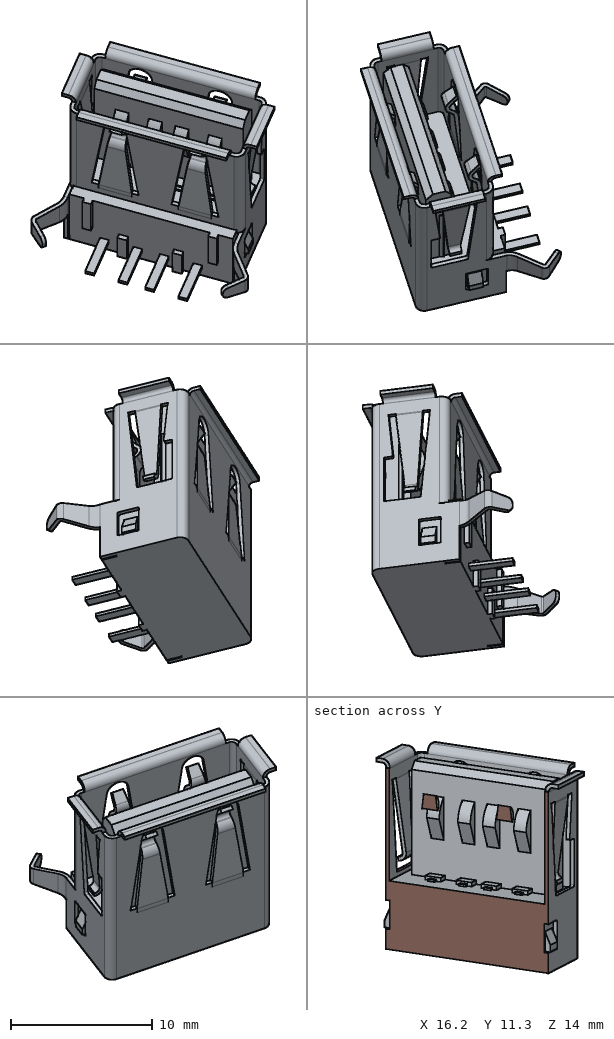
import cadquery as cq
import math


SHEET = 0.3
SHELL_X = 13.1
SHELL_Y = 5.7
SHELL_TOP = 13.4
CORNER_R = 0.65
HALF_X = SHELL_X / 2
HALF_Y = SHELL_Y / 2
INNER_X = HALF_X - SHEET
INNER_Y = HALF_Y - SHEET

LIP_BEND_R = SHEET * 1.5
LIP_REACH = 0.775
LONG_LIP = 11.26
SHORT_LIP = 3.84
LIP_ROOT = 0.1

SPRING_X = 3.0
SLOT_BOTTOM = 6.04
SLOT_TOP = 13.2
SLOT_BOTTOM_HALF = 1.76
SLOT_TOP_R = 0.88
SPRING_ROOT = 5.65
SPRING_LEAN_Z = 5.84
SPRING_LEAN_R = 6.8
SPRING_KNEE = (-2.45, 10.66)
SPRING_KNEE_R = 0.75
SPRING_DIP = (-1.57, 11.25)
SPRING_DIP_R = 0.52
SPRING_END = (-2.65, 12.33)
SPRING_TIP = 12.6
SPRING_ROOT_HALF = 1.24
SPRING_TIP_HALF = 0.41

WINDOW_TOP = 12.42
WINDOW_BOTTOM = 5.44
WINDOW_TOP_HALF = 1.52
WINDOW_BOTTOM_HALF = 0.85
WINDOW_R = 0.13
NOTCH_TOP = 9.0
NOTCH_Y = 1.86
SIDE_SPRING_TOP_HALF = 0.99
SIDE_SPRING_TIP_HALF = 0.41
SIDE_SPRING_TIP = 6.14
SIDE_SPRING_LEAN_Z = 12.38
SIDE_SPRING_LEAN_R = 0.5
HOOK_CORNER_X = 5.81
HOOK_END_X = 6.4
HOOK_R = 0.52

BLOCK_TOP = 5.1
BLOCK_X = 12.28
BLOCK_FRONT = -3.67
RIB_FRONT = -4.02
RIB_SPLIT = 2.1
UPPER_RIB_X = 4.72
UPPER_RIB_WIDTH = 0.65
LOWER_RIB_X = 2.07
LOWER_RIB_WIDTH = 0.71
TONGUE_X = 11.16
TONGUE_FRONT = 0.105
TONGUE_BACK = 1.98
TONGUE_CHAMFER_Z = 0.54
TONGUE_FRONT_CHAMFER_Y = 0.43
TONGUE_BACK_CHAMFER_Y = 0.52
SIDE_RIB_TOP = 10.46
SIDE_RIB_HEIGHT = 0.1
SIDE_RIB_BACK = 0.99
SIDE_RIB_CREST = 0.72
SIDE_RIB_FRONT = 0.65

LATCH_WINDOW_Y = -1.51
LATCH_WINDOW_Z = 2.57
LATCH_WINDOW_WIDTH = 1.64
LATCH_WINDOW_HEIGHT = 2.1
LATCH_Y = -1.41
LATCH_WIDTH = 1.05
LATCH_TOP = 3.04
LATCH_CREST = 2.1
LATCH_BOTTOM = 1.57
LATCH_REACH = 0.13

CONTACT_X = (-3.5, -1.0, 1.0, 3.5)
CONTACT_WIDTH = 1.0
CONTACT_TOP = 11.15
CONTACT_CREST_Z = 9.7
CONTACT_CREST_Y = -0.58
CONTACT_BOTTOM = 8.0
CONTACT_BOW = 0.18
SEAT_WIDTH = 1.23
SEAT_FRONT = -0.585
SEAT_TOP = 5.4
SEAT_TAB_TOP = 5.25
SEAT_TAB_WIDTH = 0.55
SEAT_TAB_FRONT = -0.83
PIN_WIDTH = 0.67
PIN_THICKNESS = 0.26
PIN_Z = 1.0
PIN_TIP = -6.88

LEG_TOP = 4.74
LEG_Z = 3.72
LEG_ROOT_HALF = LEG_TOP - LEG_Z
LEG_TAPER = 0.133
LEG_BEND_Y = -4.15
LEG_BEND_R = 1.3
LEG_ELBOW = (8.053, -6.15)
LEG_ELBOW_R = 0.25
LEG_TIP_RUN = 1.38
LEG_TIP_R = 0.45


def box(x_range, y_range, z_range):
    """Box between the given limits."""
    size = [high - low for low, high in (x_range, y_range, z_range)]
    corner = (x_range[0], y_range[0], z_range[0])
    return cq.Workplane("XY").box(*size, centered=False).translate(corner)


def mirror_pair(solid, plane):
    """The solid together with its mirror image."""
    return solid.union(solid.mirror(plane))


def strip_outline(plane, path, radii, thickness=SHEET):
    """Closed outline of a bent strip; radii are the bends at the inner points of its centre line."""
    half = thickness / 2
    headings = []
    for (u0, v0), (u1, v1) in zip(path, path[1:]):
        headings.append(math.atan2(v1 - v0, u1 - u0))

    def beside(point, heading, offset):
        return (point[0] - offset * math.sin(heading), point[1] + offset * math.cos(heading))

    def face(offset):
        """Start point, list of (arc start, arc middle, arc end) and end point of one face."""
        arcs = []
        for i, radius in enumerate(radii):
            before = headings[i]
            turn = headings[i + 1] - before
            side = math.copysign(1, turn)
            setback = radius * math.tan(abs(turn) / 2)
            vertex = path[i + 1]
            tangent = (vertex[0] - setback * math.cos(before), vertex[1] - setback * math.sin(before))
            centre = beside(tangent, before, side * radius)
            reach = offset - side * radius
            arcs.append([beside(centre, before + turn * part, reach) for part in (0, 0.5, 1)])
        return beside(path[0], headings[0], offset), arcs, beside(path[-1], headings[-1], offset)

    start, arcs, end = face(half)
    outline = cq.Workplane(plane).moveTo(*start)
    for first, middle, last in arcs:
        outline = outline.lineTo(*first).threePointArc(middle, last)
    outline = outline.lineTo(*end)
    start, arcs, end = face(-half)
    outline = outline.lineTo(*end)
    for first, middle, last in reversed(arcs):
        outline = outline.lineTo(*last).threePointArc(middle, first)
    return outline.lineTo(*start).close()


def shell_tube():
    """Rounded tube, open toward -Y at the bottom, with flat side walls reaching past the body."""
    tube = cq.Workplane("XY").rect(SHELL_X, SHELL_Y).extrude(SHELL_TOP).edges("|Z").fillet(CORNER_R)
    bore = cq.Workplane("XY").rect(2 * INNER_X, 2 * INNER_Y).extrude(SHELL_TOP)
    tube = tube.cut(bore.edges("|Z").fillet(CORNER_R - SHEET))
    front_edge = CORNER_R - HALF_Y
    tube = tube.cut(box((-HALF_X, HALF_X), (-HALF_Y, front_edge), (0, LEG_TOP)))
    side = box((INNER_X, HALF_X), (BLOCK_FRONT, front_edge), (0, LEG_TOP))
    return tube.union(mirror_pair(side, "YZ"))


def lip(plane, wall, length):
    """Outward-flared lip along one wall of the mouth, bent in the given plane."""
    middle = wall - SHEET / 2
    level = SHELL_TOP + LIP_BEND_R
    path = [(middle, SHELL_TOP - LIP_ROOT), (middle, level), (wall + LIP_REACH, level)]
    return strip_outline(plane, path, [LIP_BEND_R]).extrude(length / 2, both=True)


def lips():
    """The four lips of the mouth."""
    back = lip("YZ", HALF_Y, LONG_LIP)
    side = lip("XZ", HALF_X, SHORT_LIP)
    return mirror_pair(back, "XZ").union(mirror_pair(side, "YZ"))


def wall_slots():
    """Arched slots around the springs, cut through the front and back walls."""
    lean = math.atan2(SLOT_BOTTOM_HALF - SLOT_TOP_R, SLOT_TOP - SLOT_BOTTOM)
    arch_x = SLOT_TOP_R * math.cos(lean)
    arch_z = SLOT_TOP - SLOT_TOP_R * (1 - math.sin(lean))
    slot = (
        cq.Workplane("XZ")
        .moveTo(-SLOT_BOTTOM_HALF, SLOT_BOTTOM)
        .lineTo(-arch_x, arch_z)
        .threePointArc((0, SLOT_TOP), (arch_x, arch_z))
        .lineTo(SLOT_BOTTOM_HALF, SLOT_BOTTOM)
        .close()
        .extrude(HALF_Y, both=True)
    )
    root = box((-SPRING_ROOT_HALF, SPRING_ROOT_HALF), (-HALF_Y, HALF_Y), (SPRING_ROOT, SLOT_BOTTOM))
    return mirror_pair(slot.union(root).translate((SPRING_X, 0, 0)), "YZ")


def wall_springs():
    """Leaf springs of the front and back walls: lean inward, dip, then flare out at the tip."""
    middle = SHEET / 2 - HALF_Y
    path = [(middle, SPRING_ROOT), (middle, SPRING_LEAN_Z), SPRING_KNEE, SPRING_DIP, SPRING_END]
    radii = [SPRING_LEAN_R, SPRING_KNEE_R, SPRING_DIP_R]
    leaf = strip_outline("YZ", path, radii).extrude(SPRING_ROOT_HALF, both=True)
    taper = (
        cq.Workplane("XZ")
        .polyline([
            (-SPRING_ROOT_HALF, SPRING_ROOT),
            (-SPRING_ROOT_HALF, SLOT_BOTTOM),
            (-SPRING_TIP_HALF, SPRING_TIP),
            (SPRING_TIP_HALF, SPRING_TIP),
            (SPRING_ROOT_HALF, SLOT_BOTTOM),
            (SPRING_ROOT_HALF, SPRING_ROOT),
        ])
        .close()
        .extrude(HALF_Y)
    )
    spring = leaf.intersect(taper).translate((SPRING_X, 0, 0))
    return mirror_pair(mirror_pair(spring, "YZ"), "XZ")


def side_windows():
    """Tapered windows around the side springs, with a notch toward the back."""
    lean = (WINDOW_TOP_HALF - WINDOW_BOTTOM_HALF) / (WINDOW_TOP - WINDOW_BOTTOM)
    notch_y = WINDOW_TOP_HALF - lean * (WINDOW_TOP - NOTCH_TOP)
    window = (
        cq.Workplane("YZ")
        .polyline([
            (-WINDOW_TOP_HALF, WINDOW_TOP),
            (WINDOW_TOP_HALF, WINDOW_TOP),
            (notch_y, NOTCH_TOP),
            (NOTCH_Y, NOTCH_TOP),
            (NOTCH_Y, WINDOW_BOTTOM),
            (-WINDOW_BOTTOM_HALF, WINDOW_BOTTOM),
        ])
        .close()
        .extrude(HALF_X, both=True)
    )
    below_top = cq.selectors.BoxSelector(
        (-HALF_X, -HALF_Y, 0), (HALF_X, HALF_Y, NOTCH_TOP + WINDOW_R)
    )
    return window.edges("|X").edges(below_top).fillet(WINDOW_R)


def side_springs():
    """Leaf springs hanging in the side windows, leaning inward, with the tip hooked outward."""
    hook_z = SIDE_SPRING_TIP + SHEET / 2
    middle = HALF_X - SHEET / 2
    path = [
        (middle, WINDOW_TOP),
        (middle, SIDE_SPRING_LEAN_Z),
        (HOOK_CORNER_X, hook_z),
        (HOOK_END_X, hook_z),
    ]
    radii = [SIDE_SPRING_LEAN_R, HOOK_R]
    leaf = strip_outline("XZ", path, radii).extrude(SIDE_SPRING_TOP_HALF, both=True)
    taper = (
        cq.Workplane("YZ")
        .polyline([
            (-SIDE_SPRING_TOP_HALF, WINDOW_TOP),
            (SIDE_SPRING_TOP_HALF, WINDOW_TOP),
            (SIDE_SPRING_TIP_HALF, SIDE_SPRING_TIP),
            (-SIDE_SPRING_TIP_HALF, SIDE_SPRING_TIP),
        ])
        .close()
        .extrude(HALF_X)
    )
    return mirror_pair(leaf.intersect(taper), "YZ")


def latch_windows():
    """Rounded windows through the side walls for the body's latches."""
    window = (
        cq.Workplane("YZ")
        .center(LATCH_WINDOW_Y, LATCH_WINDOW_Z)
        .rect(LATCH_WINDOW_WIDTH, LATCH_WINDOW_HEIGHT)
        .extrude(HALF_X, both=True)
    )
    return window.edges("|X").fillet(WINDOW_R)


def legs():
    """Tapered board-lock legs: bend outward, then fold back at the elbow."""
    middle = HALF_X - SHEET / 2
    tip = (LEG_ELBOW[0] - LEG_TIP_RUN, LEG_ELBOW[1] - LEG_TIP_RUN)
    path = [(middle, BLOCK_FRONT), (middle, LEG_BEND_Y), LEG_ELBOW, tip]
    strip = strip_outline("XY", path, [LEG_BEND_R, LEG_ELBOW_R]).extrude(LEG_TOP)
    reach = tip[1] - SHEET
    tip_half = LEG_ROOT_HALF - LEG_TAPER * (BLOCK_FRONT - reach)
    taper = (
        cq.Workplane("YZ")
        .polyline([
            (BLOCK_FRONT, LEG_Z + LEG_ROOT_HALF),
            (BLOCK_FRONT, LEG_Z - LEG_ROOT_HALF),
            (reach, LEG_Z - tip_half),
            (reach, LEG_Z + tip_half),
        ])
        .close()
        .extrude(LEG_ELBOW[0] + SHEET)
    )
    leg = strip.intersect(taper)
    toward_tip = cq.selectors.DirectionMinMaxSelector(cq.Vector(-1, -1, 0), True)
    leg = leg.faces(toward_tip).edges("not |Z").fillet(LEG_TIP_R)
    return mirror_pair(leg, "YZ")


def body_block():
    """Insulating block filling the bottom of the shell, with standoff ribs on its front."""
    half = BLOCK_X / 2
    block = box((-INNER_X, INNER_X), (-INNER_Y, INNER_Y), (0, BLOCK_TOP))
    block = block.union(box((-half, half), (BLOCK_FRONT, -INNER_Y), (0, BLOCK_TOP)))
    ribs = (
        (UPPER_RIB_X, UPPER_RIB_WIDTH, RIB_SPLIT, BLOCK_TOP),
        (LOWER_RIB_X, LOWER_RIB_WIDTH, 0, RIB_SPLIT),
    )
    for x, width, bottom, top in ribs:
        rib = box((x - width / 2, x + width / 2), (RIB_FRONT, BLOCK_FRONT), (bottom, top))
        block = block.union(mirror_pair(rib, "YZ"))
    return block


def tongue():
    """Contact-carrying tongue with a chamfered top and a small rib on each end."""
    shoulder = SHELL_TOP - TONGUE_CHAMFER_Z
    blade = (
        cq.Workplane("YZ")
        .polyline([
            (TONGUE_FRONT, BLOCK_TOP),
            (TONGUE_FRONT, shoulder),
            (TONGUE_FRONT + TONGUE_FRONT_CHAMFER_Y, SHELL_TOP),
            (TONGUE_BACK - TONGUE_BACK_CHAMFER_Y, SHELL_TOP),
            (TONGUE_BACK, shoulder),
            (TONGUE_BACK, BLOCK_TOP),
        ])
        .close()
        .extrude(TONGUE_X / 2, both=True)
    )
    end = TONGUE_X / 2
    crest = end + SIDE_RIB_HEIGHT
    rib = (
        cq.Workplane("XY", origin=(0, 0, BLOCK_TOP))
        .polyline([
            (end, SIDE_RIB_BACK),
            (crest, SIDE_RIB_CREST),
            (crest, SIDE_RIB_FRONT),
            (end, SIDE_RIB_FRONT),
        ])
        .close()
        .extrude(SIDE_RIB_TOP - BLOCK_TOP)
    )
    return blade.union(mirror_pair(rib, "YZ"))


def latches():
    """Wedge latches of the body standing in the shell's latch windows."""
    crest = HALF_X + LATCH_REACH
    wedge = (
        cq.Workplane("XZ", origin=(0, LATCH_Y, 0))
        .polyline([
            (INNER_X, LATCH_TOP),
            (crest, LATCH_CREST),
            (crest, LATCH_BOTTOM),
            (INNER_X, LATCH_BOTTOM),
        ])
        .close()
        .extrude(LATCH_WIDTH / 2, both=True)
    )
    return mirror_pair(wedge, "YZ")


def contact(x):
    """One contact: bowed hump on the tongue, its seat on the block and its board pin."""
    bow_y = (TONGUE_FRONT + CONTACT_CREST_Y) / 2 - CONTACT_BOW
    bow_z = (CONTACT_TOP + CONTACT_CREST_Z) / 2
    hump = (
        cq.Workplane("YZ")
        .moveTo(TONGUE_FRONT, CONTACT_TOP)
        .threePointArc((bow_y, bow_z), (CONTACT_CREST_Y, CONTACT_CREST_Z))
        .lineTo(TONGUE_FRONT, CONTACT_BOTTOM)
        .close()
        .extrude(CONTACT_WIDTH / 2, both=True)
        .translate((x, 0, 0))
    )

    def across(width):
        return (x - width / 2, x + width / 2)

    seat = box(across(SEAT_WIDTH), (SEAT_FRONT, TONGUE_FRONT), (BLOCK_TOP, SEAT_TOP))
    tab = box(across(SEAT_TAB_WIDTH), (SEAT_TAB_FRONT, SEAT_FRONT), (BLOCK_TOP, SEAT_TAB_TOP))
    pin_z = (PIN_Z - PIN_THICKNESS / 2, PIN_Z + PIN_THICKNESS / 2)
    pin = box(across(PIN_WIDTH), (PIN_TIP, BLOCK_FRONT), pin_z)
    return hump.union(seat).union(tab).union(pin)


shell = shell_tube().cut(wall_slots()).cut(side_windows()).cut(latch_windows())
shell = shell.union(lips()).union(wall_springs()).union(side_springs()).union(legs())

body = body_block().union(tongue()).union(latches())
for contact_x in CONTACT_X:
    body = body.union(contact(contact_x))

result = shell.union(body)